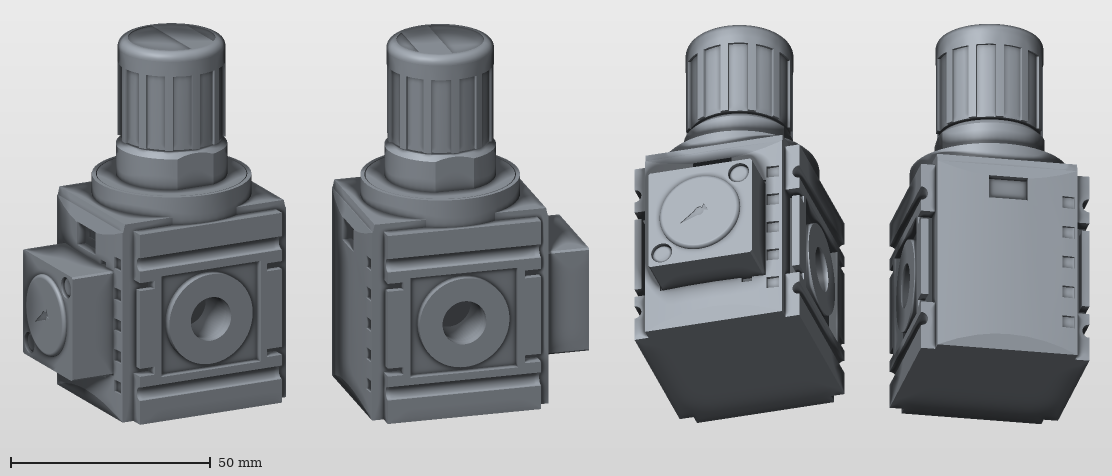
import cadquery as cq

TOTAL_HEIGHT = 92.8

BLOCK_WIDTH = 35.7
BLOCK_TOP = 51.9
BLOCK_SIDE_Y = 23.0
BULGE_Y = 24.1
SHOULDER_Z = 49.8
SLOPE_HEIGHT = 3.8
STRIP_BOTTOM_Y = 22.8
STRIP_TOP_Y = 22.4

OVERALL_WIDTH = 43.0
RAIL_DEPTH = 40.0
RAIL_INSET = 1.9
CLAMP_GROOVE_RADIUS = 1.8
CLAMP_GROOVE_HEIGHTS = (8.0, 41.9)
CLAMP_SLOT_DEPTH = 4.2
CLAMP_SLOT_HEIGHT = 24.6
CLAMP_TAB_HEIGHT = 20.4

PORT_CENTER_Z = 24.9
PORT_RECESS_WIDTH = 28.0
PORT_RECESS_HEIGHT = 26.45
PORT_RECESS_DEPTH = 2.2
PORT_BOSS_DIAMETER = 23.5
PORT_HOLE_DIAMETER = 11.4
PORT_HOLE_DEPTH = 13.9

COLLAR_DIAMETER = 40.0
COLLAR_BORE = 38.0
COLLAR_TOP = 57.1
BONNET_DIAMETER = 37.5
NUT_DIAMETER = 27.9
NUT_ACROSS_FLATS = 26.1
NUT_TOP = 66.5
NUT_CHAMFER = 1.4
NECK_DIAMETER = 21.0

KNOB_DIAMETER = 27.0
KNOB_BOTTOM = 67.2
KNOB_CORE_DIAMETER = 25.6
KNOB_RIB_WIDTH = 2.0
KNOB_RIB_COUNT = 12
KNOB_CAP_BOTTOM = 86.7
KNOB_TOP_FILLET = 2.2
KNOB_TOP_RECESS_DIAMETER = 21.9
KNOB_TOP_RECESS_DEPTH = 0.3
KNOB_TOP_BAR_WIDTH = 7.8

GAUGE_WIDTH = 27.0
GAUGE_HEIGHT = 27.3
GAUGE_BACK_Y = -22.6
GAUGE_FACE_Y = -34.9
GAUGE_EDGE_CHAMFER = 0.5
GAUGE_SEAT_CLEARANCE = 0.3
DIAL_DIAMETER = 21.0
DIAL_HEIGHT = 1.0
DIAL_FILLET = 0.9
NEEDLE_ANGLE = 30.0
NEEDLE_HUB_RADIUS = 1.2
NEEDLE_LENGTH = 6.0
NEEDLE_ROOT_HALF_WIDTH = 0.8
NEEDLE_TAIL_LENGTH = 2.0
NEEDLE_TAIL_NECK = 0.5
NEEDLE_TAIL_END = 1.2
ENGRAVING_DEPTH = 0.3

SCREW_OFFSET = 10.0
SCREW_HOLE_DIAMETER = 5.5
SCREW_HEAD_DIAMETER = 5.3
SCREW_HEAD_FILLET = 0.9
SCREW_HEAD_RECESS = 0.6
SCREW_HOLE_DEPTH = 1.7

ARROW_POCKET_WIDTH = 10.0
ARROW_POCKET_BOTTOM = 40.5
ARROW_POCKET_TOP = 46.5
ARROW_POCKET_FLOOR_Y = -21.6
ARROW_HALF_LENGTH = 3.0
ARROW_SHAFT_HEIGHT = 1.8
ARROW_HEAD_HEIGHT = 4.9
MARK_WIDTH = 3.2
MARK_CENTER_X = 15.5
MARK_PITCH = 8.1
MARK_COUNT = 5
MARK_FLOOR_Y = -22.5
WINDOW_WIDTH = 2.6
WINDOW_CENTER_X = 8.9
WINDOW_HEIGHT = 30.4


def box_between(x_range, y_range, z_range):
    """Box given by its lowest and highest coordinate along each axis."""
    return (cq.Workplane("XY")
            .box(x_range[1] - x_range[0], y_range[1] - y_range[0], z_range[1] - z_range[0], centered=False)
            .translate((x_range[0], y_range[0], z_range[0])))


def centered_span(center, size):
    return (center - size / 2, center + size / 2)


def upright_cylinder(diameter, z_bottom, z_top):
    return cq.Workplane("XY").workplane(offset=z_bottom).circle(diameter / 2).extrude(z_top - z_bottom)


def facing_front(y, center_z=0.0):
    """Workplane at the given Y whose X is +X, whose Y is +Z and which extrudes toward -Y."""
    return cq.Workplane("XZ", origin=(0, y, center_z))


def housing_block():
    half_width = BLOCK_WIDTH / 2
    footprint = (cq.Workplane("XY")
                 .moveTo(-half_width, -BLOCK_SIDE_Y)
                 .threePointArc((0, -BULGE_Y), (half_width, -BLOCK_SIDE_Y))
                 .lineTo(half_width, BLOCK_SIDE_Y)
                 .threePointArc((0, BULGE_Y), (-half_width, BLOCK_SIDE_Y))
                 .close()
                 .extrude(BLOCK_TOP))
    half_profile = [
        (BLOCK_SIDE_Y, 0),
        (BULGE_Y, SLOPE_HEIGHT),
        (BULGE_Y, SHOULDER_Z - SLOPE_HEIGHT),
        (BLOCK_SIDE_Y, SHOULDER_Z),
        (STRIP_BOTTOM_Y, SHOULDER_Z),
        (STRIP_TOP_Y, BLOCK_TOP),
    ]
    mirrored = [(-y, z) for y, z in reversed(half_profile)]
    side_profile = (cq.Workplane("YZ")
                    .polyline(half_profile + mirrored)
                    .close()
                    .extrude(half_width, both=True))
    return footprint.intersect(side_profile)


def clamp_slots(side):
    """Slots at both ends of one rail, each leaving a thin tab flush with the rail's outer face."""
    outer_x = side * OVERALL_WIDTH / 2
    inner_x = side * BLOCK_WIDTH / 2
    tab_x = outer_x - side * RAIL_INSET
    slot_z = centered_span(PORT_CENTER_Z, CLAMP_SLOT_HEIGHT)
    tab_z = centered_span(PORT_CENTER_Z, CLAMP_TAB_HEIGHT)
    slots = cq.Workplane("XY")
    for end in (-1, 1):
        end_y = end * RAIL_DEPTH / 2
        y_range = sorted((end_y, end_y - end * CLAMP_SLOT_DEPTH))
        slot = box_between(sorted((inner_x, outer_x)), y_range, slot_z)
        tab = box_between(sorted((tab_x, outer_x)), y_range, tab_z)
        slots = slots.add(slot.cut(tab))
    return slots.combine()


def rail(side):
    """Rail with its clamp grooves, clamp slots and recessed port face; side is -1 or 1."""
    outer_x = side * OVERALL_WIDTH / 2
    inner_x = side * BLOCK_WIDTH / 2
    body = box_between(sorted((inner_x, outer_x)), centered_span(0, RAIL_DEPTH), (0, SHOULDER_Z))
    for height in CLAMP_GROOVE_HEIGHTS:
        groove = (facing_front(0)
                  .center(outer_x, height)
                  .circle(CLAMP_GROOVE_RADIUS)
                  .extrude(RAIL_DEPTH / 2, both=True))
        body = body.cut(groove)
    body = body.cut(clamp_slots(side))
    recess_x = sorted((outer_x, outer_x - side * PORT_RECESS_DEPTH))
    recess = box_between(recess_x, centered_span(0, PORT_RECESS_WIDTH),
                         centered_span(PORT_CENTER_Z, PORT_RECESS_HEIGHT))
    boss = (cq.Workplane("YZ", origin=(recess_x[0], 0, PORT_CENTER_Z))
            .circle(PORT_BOSS_DIAMETER / 2)
            .extrude(PORT_RECESS_DEPTH))
    return body.cut(recess.cut(boss))


def port_hole(side):
    return (cq.Workplane("YZ", origin=(side * OVERALL_WIDTH / 2, 0, PORT_CENTER_Z))
            .circle(PORT_HOLE_DIAMETER / 2)
            .extrude(-side * PORT_HOLE_DEPTH))


def front_pocket(floor_y, center_x, width, z_range):
    return box_between(centered_span(center_x, width), (-BULGE_Y, floor_y), z_range)


def flow_arrow():
    """Arrow engraved in the floor of the arrow pocket, pointing toward +X."""
    center_z = (ARROW_POCKET_BOTTOM + ARROW_POCKET_TOP) / 2
    half_shaft = ARROW_SHAFT_HEIGHT / 2
    half_head = ARROW_HEAD_HEIGHT / 2
    return (facing_front(ARROW_POCKET_FLOOR_Y, center_z)
            .polyline([
                (-ARROW_HALF_LENGTH, half_shaft), (0, half_shaft), (0, half_head),
                (ARROW_HALF_LENGTH, 0),
                (0, -half_head), (0, -half_shaft), (-ARROW_HALF_LENGTH, -half_shaft),
            ])
            .close()
            .extrude(-ENGRAVING_DEPTH))


def arrow_pocket_and_marks():
    """Arrow pocket and the row of square marks, placed on the front face."""
    pockets = front_pocket(ARROW_POCKET_FLOOR_Y, 0, ARROW_POCKET_WIDTH,
                           (ARROW_POCKET_BOTTOM, ARROW_POCKET_TOP))
    for index in range(MARK_COUNT):
        mark_z = PORT_CENTER_Z + (index - (MARK_COUNT - 1) / 2) * MARK_PITCH
        mark = front_pocket(MARK_FLOOR_Y, MARK_CENTER_X, MARK_WIDTH, centered_span(mark_z, MARK_WIDTH))
        pockets = pockets.union(mark)
    return pockets


def gauge_seat_and_window():
    gauge_seat = front_pocket(GAUGE_BACK_Y, 0, GAUGE_WIDTH + 2 * GAUGE_SEAT_CLEARANCE,
                              centered_span(PORT_CENTER_Z, GAUGE_HEIGHT + 2 * GAUGE_SEAT_CLEARANCE))
    window = front_pocket(GAUGE_BACK_Y, WINDOW_CENTER_X, WINDOW_WIDTH,
                          centered_span(PORT_CENTER_Z, WINDOW_HEIGHT))
    return gauge_seat.union(window)


def make_housing():
    housing = housing_block().union(upright_cylinder(COLLAR_DIAMETER, SHOULDER_Z, COLLAR_TOP))
    for side in (-1, 1):
        housing = housing.union(rail(side)).cut(port_hole(side))
    housing = housing.cut(upright_cylinder(COLLAR_BORE, SHOULDER_Z, COLLAR_TOP))
    front_pockets = arrow_pocket_and_marks()
    back_pockets = front_pockets.rotate((0, 0, 0), (0, 0, 1), 180)
    housing = housing.cut(front_pockets).cut(back_pockets)
    return housing.cut(flow_arrow()).cut(gauge_seat_and_window())


def make_bonnet():
    plate = upright_cylinder(BONNET_DIAMETER, SHOULDER_Z, COLLAR_TOP)
    nut = upright_cylinder(NUT_DIAMETER, COLLAR_TOP, NUT_TOP).faces(">Z").chamfer(NUT_CHAMFER)
    flats = box_between(centered_span(0, NUT_ACROSS_FLATS), centered_span(0, NUT_DIAMETER),
                        (COLLAR_TOP, NUT_TOP))
    neck = upright_cylinder(NECK_DIAMETER, NUT_TOP, KNOB_BOTTOM)
    return plate.union(nut.intersect(flats)).union(neck)


def knob_ribs():
    """Grip ribs, the first one pointing toward +X."""
    ribs = cq.Workplane("XY")
    rib = box_between((0, KNOB_DIAMETER / 2), centered_span(0, KNOB_RIB_WIDTH),
                      (KNOB_BOTTOM, KNOB_CAP_BOTTOM))
    for index in range(KNOB_RIB_COUNT):
        ribs = ribs.add(rib.rotate((0, 0, 0), (0, 0, 1), index * 360 / KNOB_RIB_COUNT))
    return ribs.combine()


def knob_top_recess():
    """Shallow round recess in the knob's top, crossed by a raised bar on one side of the centre."""
    floor_z = TOTAL_HEIGHT - KNOB_TOP_RECESS_DEPTH
    bar = box_between(centered_span(0, KNOB_DIAMETER), (0, KNOB_TOP_BAR_WIDTH), (floor_z, TOTAL_HEIGHT))
    return upright_cylinder(KNOB_TOP_RECESS_DIAMETER, floor_z, TOTAL_HEIGHT).cut(bar)


def make_knob():
    envelope = upright_cylinder(KNOB_DIAMETER, KNOB_BOTTOM, TOTAL_HEIGHT)
    envelope = envelope.faces(">Z").edges().fillet(KNOB_TOP_FILLET)
    core = upright_cylinder(KNOB_CORE_DIAMETER, KNOB_BOTTOM, KNOB_CAP_BOTTOM)
    cap = upright_cylinder(KNOB_DIAMETER, KNOB_CAP_BOTTOM, TOTAL_HEIGHT)
    knob = envelope.intersect(core.union(knob_ribs()).union(cap))
    return knob.cut(knob_top_recess())


def needle():
    """Needle engraved in the dial: hub, pointed blade toward -X and -Z, and flared tail."""
    face = facing_front(GAUGE_FACE_Y - DIAL_HEIGHT, PORT_CENTER_Z)
    hub = face.circle(NEEDLE_HUB_RADIUS).extrude(-ENGRAVING_DEPTH)
    blade = (face.polyline([(-NEEDLE_LENGTH, 0), (-NEEDLE_ROOT_HALF_WIDTH, NEEDLE_ROOT_HALF_WIDTH),
                            (-NEEDLE_ROOT_HALF_WIDTH, -NEEDLE_ROOT_HALF_WIDTH)])
             .close()
             .extrude(-ENGRAVING_DEPTH))
    tail = (face.polyline([(0, NEEDLE_TAIL_NECK), (NEEDLE_HUB_RADIUS, NEEDLE_TAIL_NECK),
                           (NEEDLE_TAIL_LENGTH, NEEDLE_TAIL_END), (NEEDLE_TAIL_LENGTH, -NEEDLE_TAIL_END),
                           (NEEDLE_HUB_RADIUS, -NEEDLE_TAIL_NECK), (0, -NEEDLE_TAIL_NECK)])
            .close()
            .extrude(-ENGRAVING_DEPTH))
    pivot = (0, 0, PORT_CENTER_Z)
    pivot_back = (0, 1, PORT_CENTER_Z)
    return hub.union(blade).union(tail).rotate(pivot, pivot_back, -NEEDLE_ANGLE)


def screw_recess(corner):
    """Space around a domed screw head; corner is 1 for upper right, -1 for lower left."""
    offset = corner * SCREW_OFFSET
    floor = facing_front(GAUGE_FACE_Y + SCREW_HOLE_DEPTH, PORT_CENTER_Z).center(offset, offset)
    hole = floor.circle(SCREW_HOLE_DIAMETER / 2).extrude(SCREW_HOLE_DEPTH)
    head = floor.circle(SCREW_HEAD_DIAMETER / 2).extrude(SCREW_HOLE_DEPTH - SCREW_HEAD_RECESS)
    head = head.faces("<Y").edges().fillet(SCREW_HEAD_FILLET)
    return hole.cut(head)


def make_gauge():
    case = box_between(centered_span(0, GAUGE_WIDTH), (GAUGE_FACE_Y, GAUGE_BACK_Y),
                       centered_span(PORT_CENTER_Z, GAUGE_HEIGHT))
    case = case.edges("|Y").chamfer(GAUGE_EDGE_CHAMFER)
    dial = facing_front(GAUGE_FACE_Y, PORT_CENTER_Z).circle(DIAL_DIAMETER / 2).extrude(DIAL_HEIGHT)
    dial = dial.faces("<Y").edges().fillet(DIAL_FILLET)
    gauge = case.union(dial).cut(needle())
    for corner in (-1, 1):
        gauge = gauge.cut(screw_recess(corner))
    return gauge


housing = make_housing()
bonnet = make_bonnet()
knob = make_knob()
gauge = make_gauge()

result = cq.Compound.makeCompound([
    housing.solids().val(),
    bonnet.solids().val(),
    knob.solids().val(),
    gauge.solids().val(),
])